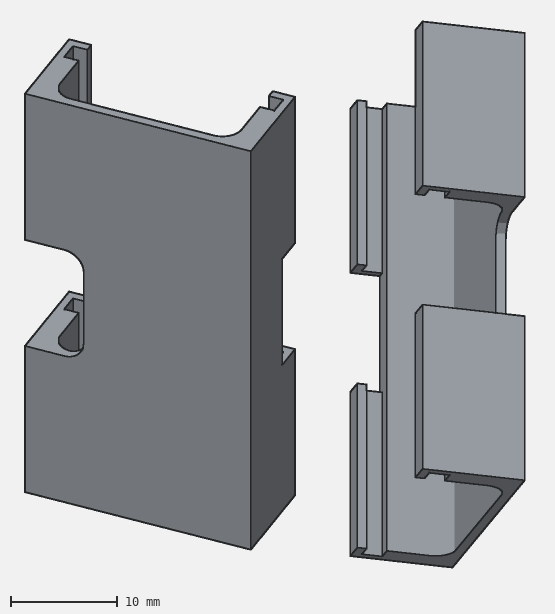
import cadquery as cq

width = 23.2
depth = 10.0
height = 45.0

wall = 2.3
floor = 1.0
inner_radius = 2.0

lip = 0.9
groove_width = 2.0
groove_depth = 1.5

window_height = 11.95
window_reach = 6.05
window_radius = 2.0

notch_depth = lip + groove_width


def box(x_size, y_size, z_size, x, y):
    """Box starting at (x, y) and centred on Z = 0."""
    return cq.Workplane("XY").box(x_size, y_size, z_size, centered=(False, False, True)).translate((x, y, 0))


def channel():
    """U-shaped channel, open towards +Y, with rounded inner corners."""
    outside = box(width, depth, height, 0, 0)
    inside = box(width - 2 * wall, depth, height, wall, floor).edges("|Z and <Y").fillet(inner_radius)
    return outside.cut(inside)


def grooves():
    """One cutter spanning both facing grooves."""
    outer_wall = wall - groove_depth
    return box(width - 2 * outer_wall, groove_width, height, outer_wall, depth - lip - groove_width)


def window():
    """Cutter for the left opening, rounded at its inner end."""
    return box(window_reach, depth, window_height, 0, 0).edges("|Y and >X").fillet(window_radius)


def notch():
    """Cutter for the open-sided notch in the right wall."""
    return box(wall, notch_depth, window_height, width - wall, depth - notch_depth)


result = channel().cut(grooves()).cut(window()).cut(notch())
result = result.translate((-width / 2, -depth / 2, 0))